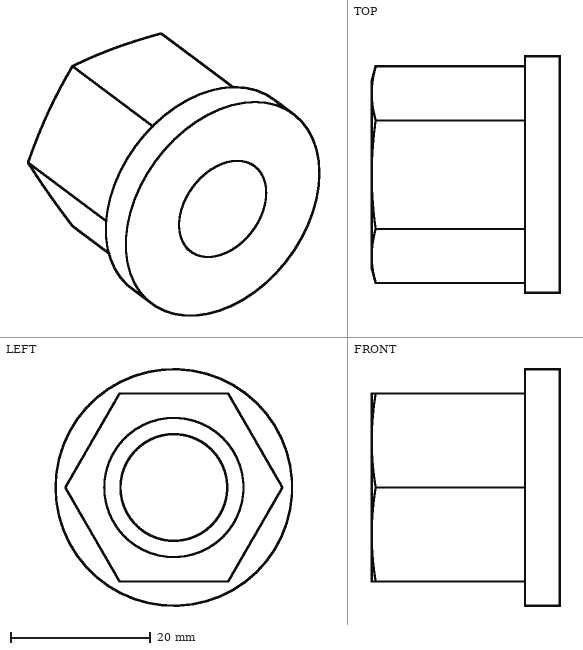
import cadquery as cq
import math

flange_diameter = 34.0
flange_thickness = 5.0
total_length = 27.0
across_flats = 27.0
bore_diameter = 15.3
countersink_diameter = 20.0
countersink_half_angle = 60.0
corner_chamfer_angle = 15.0

hex_length = total_length - flange_thickness
across_corners = across_flats / math.cos(math.radians(30))
chamfer_depth = (across_corners - across_flats) / 2 * math.tan(math.radians(corner_chamfer_angle))
countersink_depth = (countersink_diameter - bore_diameter) / 2 / math.tan(math.radians(countersink_half_angle))


def revolve_about_axis(profile):
    """Revolve a closed list of (x, radius) points about the X axis."""
    return cq.Workplane("XY").polyline(profile).close().revolve(360, (0, 0, 0), (1, 0, 0))


def hex_body():
    """Hexagonal prism with corners on Y, its free end at X = 0 chamfered by a cone."""
    prism = cq.Workplane("YZ").polygon(6, across_corners).extrude(hex_length)
    chamfer_envelope = revolve_about_axis([
        (0, 0),
        (0, across_flats / 2),
        (chamfer_depth, across_corners / 2),
        (hex_length, across_corners / 2),
        (hex_length, 0),
    ])
    return prism.intersect(chamfer_envelope)


def flange():
    """Round collar at the far end of the hexagon."""
    return (
        cq.Workplane("YZ", origin=(hex_length, 0, 0))
        .circle(flange_diameter / 2)
        .extrude(flange_thickness)
    )


def countersunk_bore():
    """Through bore, opened by a cone at the hexagon end."""
    return revolve_about_axis([
        (0, 0),
        (0, countersink_diameter / 2),
        (countersink_depth, bore_diameter / 2),
        (total_length, bore_diameter / 2),
        (total_length, 0),
    ])


result = hex_body().union(flange()).cut(countersunk_bore())